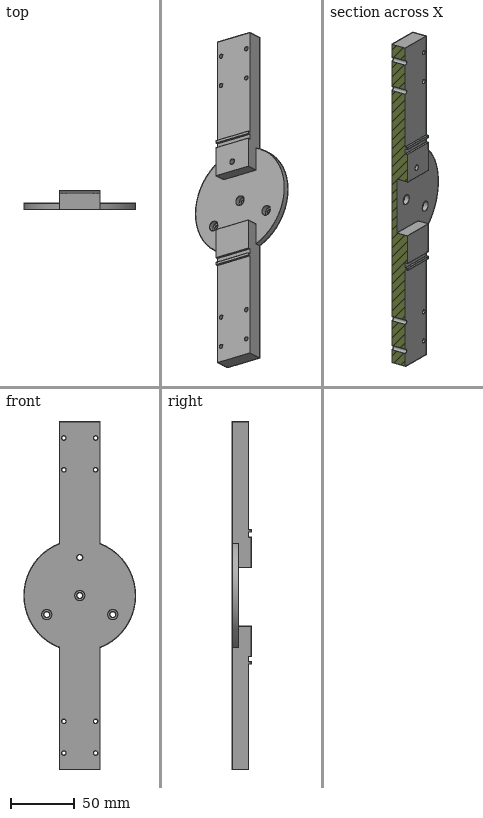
import cadquery as cq
import math

BAR_LENGTH = 274.0
BAR_WIDTH = 32.0
ARM_THICKNESS = 13.0

DISC_DIAMETER = 88.0
DISC_THICKNESS = 5.0

DISC_HOLE_DIAMETER = 4.5
DISC_HOLE_CIRCLE_RADIUS = 30.0
DISC_HOLE_COUNT = 3
DISC_HOLE_START_ANGLE = 90.0

COUNTERBORE_DIAMETER = 8.0
COUNTERBORE_SKIN = 0.6

RAISED_HEIGHT = 2.0
UPPER_ARM_START = 22.0
LOWER_ARM_START = 24.0
PAD_LENGTH = 24.0
GROOVE_WIDTH = 4.0
RIB_WIDTH = 2.0

ARM_HOLE_DIAMETER = 3.3
ARM_HOLE_SPACING = 25.0
ARM_HOLE_END_MARGIN = 13.0

TOTAL_THICKNESS = ARM_THICKNESS + RAISED_HEIGHT


def disc_hole_centres():
    """Centre hole plus the holes spaced evenly around it, as (x, z)."""
    centres = [(0, 0)]
    for index in range(DISC_HOLE_COUNT):
        angle = math.radians(DISC_HOLE_START_ANGLE + index * 360 / DISC_HOLE_COUNT)
        x = DISC_HOLE_CIRCLE_RADIUS * math.cos(angle)
        z = DISC_HOLE_CIRCLE_RADIUS * math.sin(angle)
        centres.append((x, z))
    return centres


def arm_hole_centres():
    """Square pattern of four holes near the end of each arm, as (x, z)."""
    outer_z = BAR_LENGTH / 2 - ARM_HOLE_END_MARGIN
    inner_z = outer_z - ARM_HOLE_SPACING
    half_spacing = ARM_HOLE_SPACING / 2
    centres = []
    for side in (1, -1):
        for z in (outer_z, inner_z):
            for x in (half_spacing, -half_spacing):
                centres.append((x, side * z))
    return centres


def make_cylinders(centres, diameter, front_y, back_y):
    """Cylinders along Y at the given (x, z) centres, from front_y back to back_y."""
    plane = cq.Workplane("XZ", origin=(0, front_y, 0))
    return plane.pushPoints(centres).circle(diameter / 2).extrude(front_y - back_y)


def make_disc():
    """Disc with its rear counterbores; the arms added later close those they cover."""
    disc = make_cylinders([(0, 0)], DISC_DIAMETER, 0, DISC_THICKNESS)
    counterbores = make_cylinders(
        disc_hole_centres(), COUNTERBORE_DIAMETER, COUNTERBORE_SKIN, DISC_THICKNESS
    )
    return disc.cut(counterbores)


def make_arm(side, arm_start):
    """Arm with a raised pad and rib on its back; side is +1 for upper, -1 for lower."""
    arm_end = BAR_LENGTH / 2
    pad_end = arm_start + PAD_LENGTH
    rib_start = pad_end + GROOVE_WIDTH
    rib_end = rib_start + RIB_WIDTH
    profile = [
        (0, arm_start),
        (TOTAL_THICKNESS, arm_start),
        (TOTAL_THICKNESS, pad_end),
        (ARM_THICKNESS, pad_end),
        (ARM_THICKNESS, rib_start),
        (TOTAL_THICKNESS, rib_start),
        (TOTAL_THICKNESS, rib_end),
        (ARM_THICKNESS, rib_end),
        (ARM_THICKNESS, arm_end),
        (0, arm_end),
    ]
    points = [(y, side * z) for y, z in profile]
    return cq.Workplane("YZ").polyline(points).close().extrude(BAR_WIDTH / 2, both=True)


body = make_disc()
body = body.union(make_arm(1, UPPER_ARM_START))
body = body.union(make_arm(-1, LOWER_ARM_START))

disc_holes = make_cylinders(disc_hole_centres(), DISC_HOLE_DIAMETER, 0, TOTAL_THICKNESS)
arm_holes = make_cylinders(arm_hole_centres(), ARM_HOLE_DIAMETER, 0, TOTAL_THICKNESS)
result = body.cut(disc_holes).cut(arm_holes)